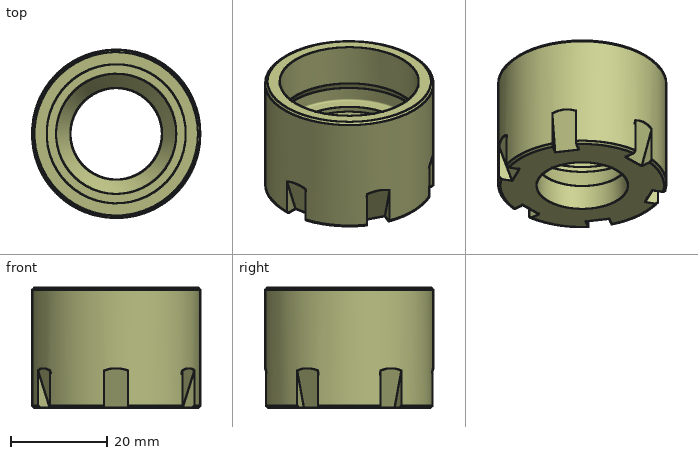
import cadquery as cq
import math

outer_diameter = 35.0
height = 25.0
edge_chamfer = 0.5

entry_diameter = 28.92
entry_depth = 8.65
groove_diameter = 30.3
groove_flank_angle = 25.0
floor_depth = 13.15
floor_fillet = 0.4
seat_diameter = 25.0
seat_length = 1.15
nose_diameter = 19.0
nose_taper_angle = 30.0

slot_count = 6
first_slot_angle = 30.0
slot_width = 5.0
slot_height = 8.25
slot_floor_angle = 20.0


def make_body():
    """Round body with both outer rims chamfered."""
    body = cq.Workplane("XY").circle(outer_diameter / 2).extrude(height)
    return body.faces("<Z or >Z").edges().chamfer(edge_chamfer)


def make_bore():
    """Revolved cavity: entry bore, undercut groove, seat, taper and nose hole."""
    entry_radius = entry_diameter / 2
    groove_radius = groove_diameter / 2
    seat_radius = seat_diameter / 2
    entry_end_z = height - entry_depth
    flank_length = (groove_radius - entry_radius) / math.tan(math.radians(groove_flank_angle))
    groove_top_z = entry_end_z - flank_length
    floor_z = height - floor_depth
    seat_end_z = floor_z - seat_length
    nose_radius = nose_diameter / 2
    taper_length = (seat_radius - nose_radius) / math.tan(math.radians(nose_taper_angle))
    fillet_mid = floor_fillet * (1 - math.sqrt(0.5))

    profile = (
        cq.Workplane("XZ")
        .moveTo(0, height)
        .lineTo(entry_radius, height)
        .lineTo(entry_radius, entry_end_z)
        .lineTo(groove_radius, groove_top_z)
        .lineTo(groove_radius, floor_z + floor_fillet)
        .threePointArc(
            (groove_radius - fillet_mid, floor_z + fillet_mid),
            (groove_radius - floor_fillet, floor_z),
        )
        .lineTo(seat_radius, floor_z)
        .lineTo(seat_radius, seat_end_z)
        .lineTo(nose_radius, seat_end_z - taper_length)
        .lineTo(nose_radius, 0)
        .lineTo(0, 0)
        .close()
    )
    return profile.revolve(360, (0, 0, 0), (0, 1, 0))


def make_slot(angle):
    """Wedge whose inner face slopes inward toward the bottom face."""
    outer_radius = outer_diameter / 2
    slope = math.tan(math.radians(slot_floor_angle))
    bottom_radius = outer_radius - slot_height * slope
    overrun = 1.0
    wedge = (
        cq.Workplane("XZ")
        .moveTo(bottom_radius, 0)
        .lineTo(outer_radius + overrun, 0)
        .lineTo(outer_radius + overrun, slot_height + overrun / slope)
        .close()
        .extrude(slot_width / 2, both=True)
    )
    return wedge.rotate((0, 0, 0), (0, 0, 1), angle)


result = make_body().cut(make_bore())
for index in range(slot_count):
    result = result.cut(make_slot(first_slot_angle + index * 360 / slot_count))